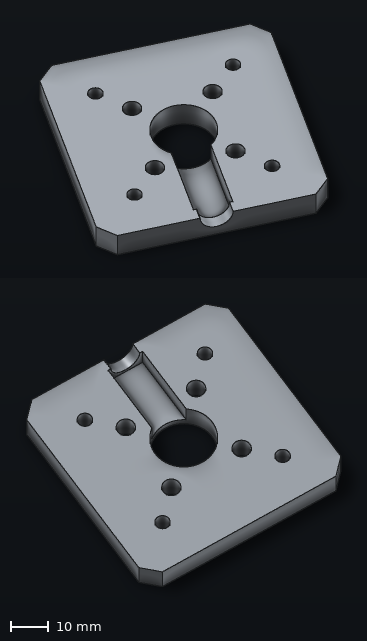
import cadquery as cq

plate_side = 63.8
plate_thickness = 7.5
corner_chamfer = 4.5

bore_diameter = 18.0
inner_hole_diameter = 5.1
inner_hole_offset = 11.1
outer_hole_diameter = 4.1
outer_hole_offset = 18.95

channel_width = 10.85
channel_depth = 5.5
edge_wall = 3.45
groove_diameter = 9.05

half_side = plate_side / 2
channel_length = half_side - edge_wall


def square_of_holes(diameter, offset):
    """Vertical cutters at the corners of a centred square."""
    return (
        cq.Workplane("XY")
        .rect(2 * offset, 2 * offset, forConstruction=True)
        .vertices()
        .circle(diameter / 2)
        .extrude(plate_thickness)
    )


plate = (
    cq.Workplane("XY")
    .rect(plate_side, plate_side)
    .extrude(plate_thickness)
    .edges("|Z")
    .chamfer(corner_chamfer)
)

bore = cq.Workplane("XY").circle(bore_diameter / 2).extrude(plate_thickness)

channel = cq.Workplane("XY").box(
    channel_length, channel_width, channel_depth, centered=(False, True, False)
).translate((0, 0, plate_thickness - channel_depth))

groove = (
    cq.Workplane("YZ", origin=(channel_length, 0, plate_thickness))
    .circle(groove_diameter / 2)
    .extrude(edge_wall)
)

result = (
    plate.cut(bore)
    .cut(square_of_holes(inner_hole_diameter, inner_hole_offset))
    .cut(square_of_holes(outer_hole_diameter, outer_hole_offset))
    .cut(channel)
    .cut(groove)
)